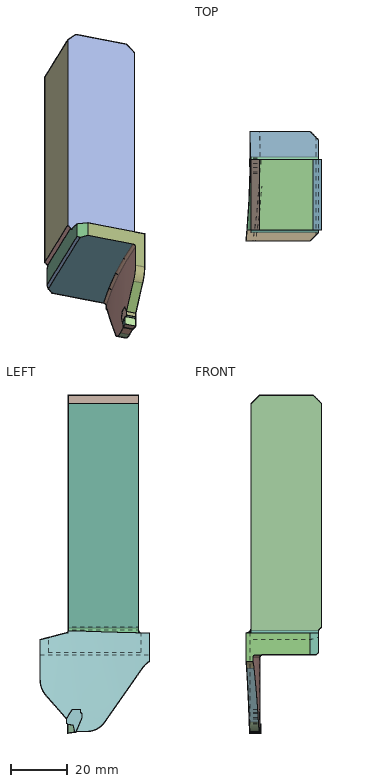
import cadquery as cq
import math

total_height = 119.6
shank_right = 26.8
shank_width = 25.0
shank_left = shank_right - shank_width
shank_front = 3.8
shank_back = shank_front + shank_width
shank_chamfer = 3.0
undercut = 1.1
undercut_height = 1.0
side_root_radius = 1.7
end_root_radius = 0.8

depth = 38.8
head_top = 35.5
head_bottom = 27.7
head_right = shank_right - undercut
head_corner_chamfer = 3.0
head_bottom_chamfer = 0.8
blade_root_radius = 1.0

shoulder_y = shank_back + end_root_radius
back_top = 33.1
back_corner_z = 15.8
back_corner_radius = 8.4
seat_side_y = 29.4
seat_side_z = 5.1
blade_bottom = 0.6
front_toe_y = 18.2
front_toe_radius = 7.8
front_slope_y = 1.5
front_slope_z = 24.4
front_corner_z = 25.5
front_bend_radius = 9.6
crown_y = 30.7
left_crown_x = 1.5
left_radius = 315.7
right_crown_x = 5.0
right_radius = 187.8

tip_left = 1.3
tip_right = 5.4
tip_side_y = 29.0
tip_inner_y = 26.4
tip_root_y = 27.0
tip_root_z = 2.9
tip_top = 3.2
tip_inner_z = 0.4
insert_outline = [
    (tip_side_y, tip_top),
    (seat_side_y, 3.6),
    (seat_side_y, seat_side_z),
    (27.4, 8.4),
    (24.4, 8.4),
    (24.4, 7.4),
    (23.8, 6.9),
    (23.8, 5.6),
    (26.1, tip_inner_z),
    (tip_inner_y, tip_inner_z),
    (tip_root_y, tip_root_z),
]
tip_outline = [
    (tip_side_y, tip_top),
    (tip_root_y, tip_root_z),
    (tip_inner_y, tip_inner_z),
    (tip_side_y, 0),
]

overhang = 4.8


def upright_cylinder(crown_x, radius):
    """Cylinder along Z whose rightmost line passes through the crown."""
    return (
        cq.Workplane("XY")
        .center(crown_x - radius, crown_y)
        .circle(radius)
        .extrude(total_height)
    )


def plate(outline, left, right):
    """Plate with a YZ outline, spanning X from left to right."""
    return cq.Workplane("YZ").workplane(offset=left).polyline(outline).close().extrude(right - left)


def edges_in_box(body, low, high):
    return body.edges(cq.selectors.BoxSelector(low, high, boundingbox=True))


def side_plate(right):
    """Outline shared by head and blade, with its three rounded corners."""
    outline = [
        (0, head_top),
        (shoulder_y, head_top),
        (depth, back_top),
        (depth, back_corner_z),
        (seat_side_y, seat_side_z),
        (tip_root_y, tip_root_z),
        (tip_inner_y, blade_bottom),
        (front_toe_y, blade_bottom),
        (front_slope_y, front_slope_z),
        (0, front_corner_z),
    ]
    body = plate(outline, -overhang, right)
    middle_x = (right - overhang) / 2
    rounded_corners = [
        (depth, back_corner_z, back_corner_radius),
        (front_toe_y, blade_bottom, front_toe_radius),
        (front_slope_y, front_slope_z, front_bend_radius),
    ]
    for y, z, radius in rounded_corners:
        corner = cq.selectors.NearestToPointSelector((middle_x, y, z))
        body = body.edges(corner).fillet(radius)
    return body


def make_head():
    block = (
        cq.Workplane("XY")
        .workplane(offset=head_bottom)
        .center(-overhang, 0)
        .rect(head_right + overhang, depth, centered=False)
        .extrude(head_top - head_bottom)
        .edges("|Z and >X").chamfer(head_corner_chamfer)
        .faces("<Z").edges(">X").chamfer(head_bottom_chamfer)
    )
    return block.intersect(side_plate(head_right))


def make_blade():
    return side_plate(head_right).intersect(upright_cylinder(right_crown_x, right_radius))


def make_shank():
    profile = [
        (shank_left, head_top),
        (head_right, head_top),
        (head_right, head_top + undercut_height),
        (shank_right, head_top + undercut_height + undercut),
        (shank_right, total_height - shank_chamfer),
        (shank_right - shank_chamfer, total_height),
        (shank_left + shank_chamfer, total_height),
        (shank_left, total_height - shank_chamfer),
    ]
    return (
        cq.Workplane("XZ")
        .workplane(offset=-shank_front)
        .polyline(profile).close()
        .extrude(-shank_width)
    )


def cove(plane, origin, direction, radius, length):
    """Concave corner strip; direction is the sign of the side on which it leaves the shank."""
    diagonal = radius * (1 - math.sqrt(0.5))
    return (
        cq.Workplane(plane, origin=origin)
        .moveTo(0, 0)
        .lineTo(direction * radius, 0)
        .threePointArc((direction * diagonal, diagonal), (0, radius))
        .close()
        .extrude(length)
    )


def make_root_coves():
    """Fillets where the left, front and back shank faces meet the head."""
    end_length = head_right - shank_left
    left = cove("XZ", (shank_left, shank_back, head_top), -1, side_root_radius, shank_width)
    front = cove("YZ", (shank_left, shank_front, head_top), -1, end_root_radius, end_length)
    back = cove("YZ", (shank_left, shank_back, head_top), 1, end_root_radius, end_length)
    return left.union(front).union(back)


def make_holder():
    body = make_head().union(make_blade())
    margin = 0.1
    blade_root = edges_in_box(
        body,
        (0, -margin, head_bottom - margin),
        (right_crown_x + margin, depth + margin, head_bottom + margin),
    )
    body = blade_root.fillet(blade_root_radius)
    body = body.union(make_shank()).union(make_root_coves())
    body = body.cut(upright_cylinder(left_crown_x, left_radius))
    body = body.cut(plate(insert_outline, -overhang, head_right))
    return body.cut(plate(tip_outline, -overhang, head_right))


def make_insert():
    clamped = plate(insert_outline, 0, tip_right)
    clamped = clamped.intersect(upright_cylinder(right_crown_x, right_radius))
    clamped = clamped.cut(upright_cylinder(left_crown_x, left_radius))
    return clamped.union(plate(tip_outline, tip_left, tip_right))


holder = make_holder()
insert = make_insert()
result = cq.Compound.makeCompound([*holder.solids().vals(), *insert.solids().vals()])